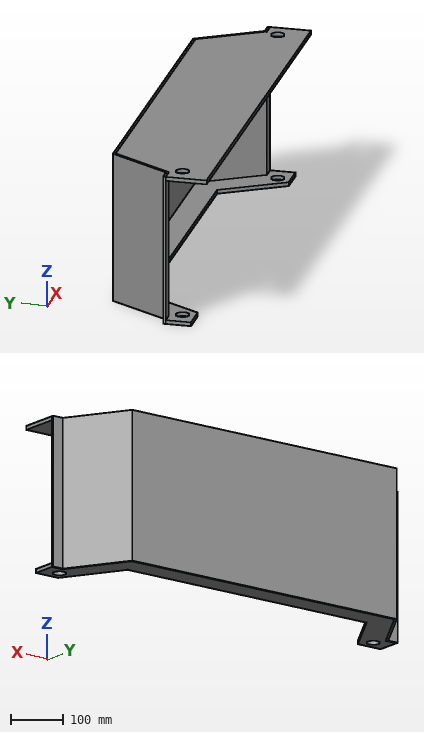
import cadquery as cq
import math

width = 827.0
depth = 207.5
height = 300.0

sheet_thickness = 5.0
back_half_width = 317.5
flange_half_gap = 390.0
flange_rear = 122.0

plate_thickness = 8.0
bottom_strip_width = 50.0
hole_diameter = 26.0
hole_half_spacing = 376.0
hole_setback = 151.0

fold_angle = math.atan2(flange_rear, flange_half_gap - back_half_width)


def folded_line(offset):
    """Left-to-right points of the sheet's rear line, shifted forward by offset with mitred folds."""
    fold_shift = offset * math.tan(fold_angle / 2)
    back_x = back_half_width - fold_shift
    flange_x = flange_half_gap - fold_shift
    back_y = -offset
    flange_y = -flange_rear - offset
    return [
        (-width / 2, flange_y),
        (-flange_x, flange_y),
        (-back_x, back_y),
        (back_x, back_y),
        (flange_x, flange_y),
        (width / 2, flange_y),
    ]


def extrude_between(rear_line, front_line, base_z, thickness):
    """Solid between two left-to-right lines."""
    outline = rear_line + front_line[::-1]
    return cq.Workplane("XY").workplane(offset=base_z).polyline(outline).close().extrude(thickness)


def drill_mounting_holes(plate):
    centres = [(side * hole_half_spacing, -hole_setback) for side in (-1, 1)]
    drills = cq.Workplane("XY").pushPoints(centres).circle(hole_diameter / 2).extrude(height)
    return plate.cut(drills)


def make_back_sheet():
    return extrude_between(folded_line(0), folded_line(sheet_thickness), 0, height)


def make_top_plate():
    front_edge = [(-width / 2, -depth), (width / 2, -depth)]
    plate = extrude_between(
        folded_line(sheet_thickness), front_edge, height - plate_thickness, plate_thickness
    )
    return drill_mounting_holes(plate)


def make_bottom_plate():
    front_edge = folded_line(sheet_thickness + bottom_strip_width)
    plate = extrude_between(folded_line(sheet_thickness), front_edge, 0, plate_thickness)
    return drill_mounting_holes(plate)


back_sheet = make_back_sheet()
top_plate = make_top_plate()
bottom_plate = make_bottom_plate()

result = cq.Compound.makeCompound([back_sheet.val(), top_plate.val(), bottom_plate.val()])